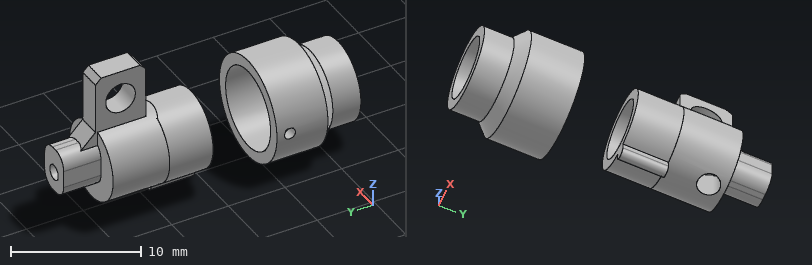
import cadquery as cq

barrel_diameter = 6.8
sleeve_bore = 5.0
sleeve_length = 3.85
housing_length = 5.0
housing_rear = sleeve_length + housing_length
channel_diameter = 1.3

interlock_base_z = 3.03

key_width = 1.0
key_bottom = -4.5

stem_length = 3.29
stem_width = 3.0
stem_height = 4.0
stem_corner_radius = 1.25
stem_center_z = 0.25

lug_thickness = 2.0
lug_length = 4.45
lug_top = 8.25
lug_chamfer = 0.5
lug_hole_diameter = 2.6
lug_hole_z = 5.75
lug_overhang = 0.2
gusset_run = 1.3
gusset_bottom = 2.0

drain_diameter = 1.85
drain_y = 7.45

cap_gap = 5.0
cap_diameter = 9.0
cap_body_length = 4.5
cap_cone_length = 1.0
cap_neck_length = 2.5
cap_neck_diameter = 7.0
cap_bore = 5.2
cap_socket_diameter = 7.0
cap_socket_depth = 5.0
cap_side_hole_diameter = 0.97
cap_side_hole_inset = 1.15


def cylinder_along_y(diameter, start, length):
    """Cylinder centred on the Y axis that grows toward +Y from the given start."""
    plane = cq.Workplane("XZ", origin=(0, start, 0))
    return plane.circle(diameter / 2).extrude(-length)


def plate_across_x(points, thickness):
    """Plate with a (Y, Z) outline, centred on X = 0."""
    return cq.Workplane("YZ").polyline(points).close().extrude(thickness / 2, both=True)


def make_interlock():
    """Wedge at the top of the barrel, with a 45 degree underside that faces the sleeve."""
    rise = barrel_diameter / 2 - interlock_base_z
    wedge = plate_across_x(
        [
            (sleeve_length, interlock_base_z),
            (sleeve_length, interlock_base_z + rise),
            (sleeve_length - rise, interlock_base_z + rise),
        ],
        barrel_diameter,
    )
    return wedge.intersect(cylinder_along_y(barrel_diameter, 0, sleeve_length))


def make_stem():
    """Rounded rectangular stem behind the barrel."""
    block = cq.Workplane("XY").box(stem_width, stem_length, stem_height)
    block = block.edges("|Y").fillet(stem_corner_radius)
    return block.translate((0, housing_rear + stem_length / 2, stem_center_z))


def make_lug():
    """Upright lug with chamfered top corners, a cross hole and a gusset over the stem."""
    rear = housing_rear + lug_overhang
    front = rear - lug_length
    gusset_top = gusset_bottom + gusset_run
    lug = plate_across_x(
        [
            (front, gusset_bottom),
            (front, lug_top - lug_chamfer),
            (front + lug_chamfer, lug_top),
            (rear - lug_chamfer, lug_top),
            (rear, lug_top - lug_chamfer),
            (rear, gusset_top),
            (rear + gusset_run, gusset_bottom),
        ],
        lug_thickness,
    )
    hole = (
        cq.Workplane("YZ")
        .center((front + rear) / 2, lug_hole_z)
        .circle(lug_hole_diameter / 2)
        .extrude(lug_thickness, both=True)
    )
    return lug.cut(hole)


def make_housing():
    """Solid barrel with stem, lug and interlock, pierced by the axial channel and a drain hole."""
    barrel = cylinder_along_y(barrel_diameter, sleeve_length, housing_length)
    body = barrel.union(make_interlock()).union(make_stem()).union(make_lug())
    channel = cylinder_along_y(channel_diameter, 0, housing_rear + stem_length)
    drain = (
        cq.Workplane("XY", origin=(0, drain_y, 0))
        .circle(drain_diameter / 2)
        .extrude(-barrel_diameter / 2)
    )
    return body.cut(channel).cut(drain)


def make_sleeve():
    """Tube in front of the housing with a round-nosed key along its underside."""
    key_radius = key_width / 2
    key_center_z = key_bottom + key_radius
    tube = cylinder_along_y(barrel_diameter, 0, sleeve_length)
    key = (
        cq.Workplane("XZ")
        .moveTo(-key_radius, -sleeve_bore / 2)
        .lineTo(-key_radius, key_center_z)
        .threePointArc((0, key_bottom), (key_radius, key_center_z))
        .lineTo(key_radius, -sleeve_bore / 2)
        .close()
        .extrude(-sleeve_length)
    )
    bore = cylinder_along_y(sleeve_bore, 0, sleeve_length)
    return tube.union(key).cut(bore).cut(make_interlock())


def make_cap():
    """Turned cap with a neck, a wide rear socket and one radial side hole."""
    rear = -cap_gap
    shoulder = rear - cap_body_length
    neck_rear = shoulder - cap_cone_length
    front = neck_rear - cap_neck_length
    socket_floor = rear - cap_socket_depth
    profile = [
        (cap_bore / 2, front),
        (cap_neck_diameter / 2, front),
        (cap_neck_diameter / 2, neck_rear),
        (cap_diameter / 2, shoulder),
        (cap_diameter / 2, rear),
        (cap_socket_diameter / 2, rear),
        (cap_socket_diameter / 2, socket_floor),
        (cap_bore / 2, socket_floor),
    ]
    cap = cq.Workplane("XY").polyline(profile).close().revolve(360, (0, 0, 0), (0, 1, 0))
    side_hole = (
        cq.Workplane("YZ", origin=(0, rear - cap_side_hole_inset, 0))
        .circle(cap_side_hole_diameter / 2)
        .extrude(-cap_diameter / 2)
    )
    return cap.cut(side_hole)


housing = make_housing()
sleeve = make_sleeve()
cap = make_cap()

result = cq.Compound.makeCompound([housing.val(), sleeve.val(), cap.val()])